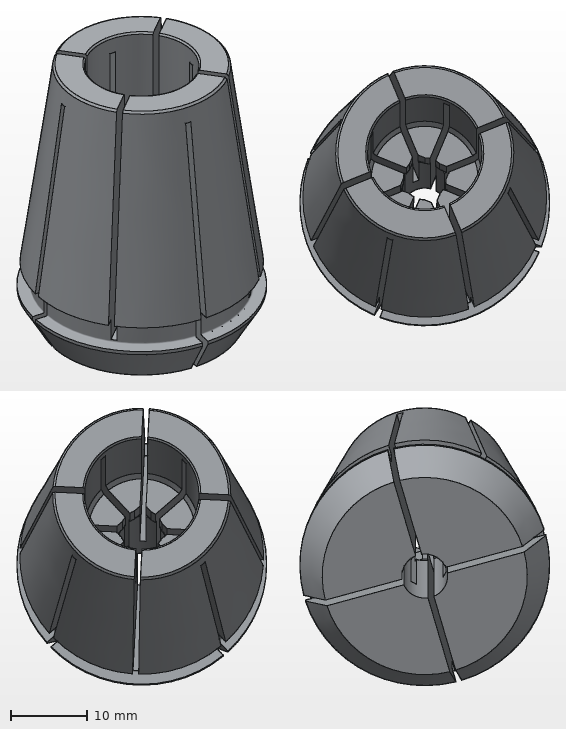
import cadquery as cq
import math

total_height = 40.0
flange_radius = 16.4
flange_top_z = 5.6
flange_rim_height = 0.5
nose_angle = 30.0
groove_radius = 14.65
groove_top_z = 9.05
groove_fillet = 0.2
cone_base_radius = 16.0
cone_angle = 8.0
edge_chamfer = 0.3

shank_bore_radius = 3.0
pilot_bore_radius = 2.8
square_size = 5.2
square_bottom_z = 18.0
relief_bore_radius = 7.5
relief_bottom_z = 22.0
relief_floor_radius = 7.0
relief_cone_height = 1.0
relief_edge_chamfer = 0.25

slots_per_set = 4
slot_angle_step = 360.0 / slots_per_set
slot_width = 0.8
slot_overcut = 1.0
slot_length = flange_radius + slot_overcut
lower_slot_top_z = 37.5
upper_slot_bottom_z = 6.0


def make_body():
    """Solid of revolution: nose cone, flange rim, nut groove and clamping cone."""
    rim_bottom_z = flange_top_z - flange_rim_height
    nose_radius = flange_radius - rim_bottom_z * math.tan(math.radians(nose_angle))
    chamfer_z = total_height - edge_chamfer
    cone_height = chamfer_z - groove_top_z
    cone_top_radius = cone_base_radius - cone_height * math.tan(math.radians(cone_angle))
    fillet_mid_offset = groove_fillet * (1 - math.sqrt(0.5))
    profile = (
        cq.Workplane("XZ")
        .lineTo(nose_radius, 0)
        .lineTo(flange_radius, rim_bottom_z)
        .lineTo(flange_radius, flange_top_z)
        .lineTo(groove_radius + groove_fillet, flange_top_z)
        .threePointArc(
            (groove_radius + fillet_mid_offset, flange_top_z + fillet_mid_offset),
            (groove_radius, flange_top_z + groove_fillet),
        )
        .lineTo(groove_radius, groove_top_z)
        .lineTo(cone_base_radius, groove_top_z)
        .lineTo(cone_top_radius, chamfer_z)
        .lineTo(cone_top_radius - edge_chamfer, total_height)
        .lineTo(0, total_height)
        .close()
    )
    return profile.revolve(360, (0, 0), (0, 1))


def make_bores():
    """Shank bore, drive square with its pilot bore, and relief bore with chamfered mouth."""
    profile = [
        (0, 0),
        (shank_bore_radius, 0),
        (shank_bore_radius, square_bottom_z),
        (pilot_bore_radius, square_bottom_z),
        (pilot_bore_radius, relief_bottom_z),
        (relief_floor_radius, relief_bottom_z),
        (relief_bore_radius, relief_bottom_z + relief_cone_height),
        (relief_bore_radius, total_height - relief_edge_chamfer),
        (relief_bore_radius + relief_edge_chamfer, total_height),
        (0, total_height),
    ]
    round_bores = cq.Workplane("XZ").polyline(profile).close().revolve(360, (0, 0), (0, 1))
    square_depth = relief_bottom_z - square_bottom_z
    square = (
        cq.Workplane("XY")
        .workplane(offset=square_bottom_z)
        .rect(square_size, square_size)
        .extrude(square_depth)
    )
    return round_bores.union(square)


def make_slots(first_angle, bottom_z, top_z):
    """Radial saw cuts from the axis outward, evenly spaced about Z."""
    blade = cq.Workplane("XY").box(
        slot_length, slot_width, top_z - bottom_z, centered=(False, True, False)
    ).translate((0, 0, bottom_z))
    slots = cq.Workplane("XY")
    for index in range(slots_per_set):
        angle = first_angle + index * slot_angle_step
        slots = slots.add(blade.rotate((0, 0, 0), (0, 0, 1), angle))
    return slots.combine()


lower_slots = make_slots(0.0, 0.0, lower_slot_top_z)
upper_slots = make_slots(slot_angle_step / 2, upper_slot_bottom_z, total_height)

result = make_body().cut(make_bores()).cut(lower_slots).cut(upper_slots)